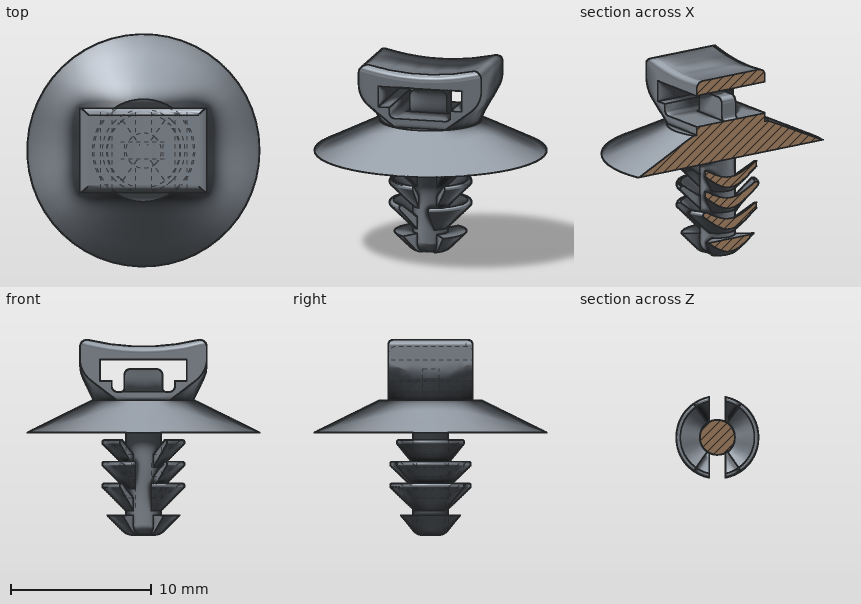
import cadquery as cq
import math


skirt_radius = 16.5 / 2
skirt_top_radius = 7.27 / 2
skirt_height = 2.28

head_length = 9.0
head_width = 6.0
flare_root_radius = 3.53
flare_height = 2.0
flare_blend = 2.0
saddle_radius = 16.5
saddle_bottom = 6.11
head_rounding = 0.5
head_blank_height = 5.0
select_margin = 0.1

window_length = 6.12
window_bottom = 3.67
window_top = 5.17
floor_length = 4.48
floor_z = 2.89
floor_rounding = 0.4

pillar_length = 2.72
pillar_width = 1.2
pillar_top = 4.52
pillar_rounding = 0.45
pillar_foot = 0.25

stem_radius = 2.5 / 2
stem_bottom = -7.27
stem_rounding = 0.75

barb_first_top = -0.52
barb_pitch = 1.54
barb_apex_radius = 3.18
barb_rounding = 0.18
barb_flat_radius = 2.63
barb_dish_depth = 1.03

tip_top = -5.87
tip_radius = 2.57
tip_rounding = 1.0

gap_half_angle = math.radians(35)
narrow_gap = 0.56
gap_reach = 4.0
FRONT_LEFT, FRONT_RIGHT, BACK_LEFT, BACK_RIGHT = (-1, -1), (1, -1), (-1, 1), (1, 1)
QUADRANTS = (FRONT_LEFT, FRONT_RIGHT, BACK_LEFT, BACK_RIGHT)


def revolve(profile):
    """Turn a closed (radius, z) profile around the Z axis."""
    return profile.close().revolve(360, (0, 0, 0), (0, 1, 0))


def make_skirt():
    profile = (
        cq.Workplane("XZ")
        .lineTo(skirt_radius, 0)
        .lineTo(skirt_top_radius, skirt_height)
        .lineTo(0, skirt_height)
    )
    return revolve(profile)


def make_flare():
    """Ruled neck from a circle trimmed to the head width up to the head rectangle."""
    half_width = head_width / 2
    half_chord = math.sqrt(flare_root_radius**2 - half_width**2)
    return (
        cq.Workplane("XY", origin=(0, 0, skirt_height))
        .moveTo(-half_chord, -half_width)
        .lineTo(half_chord, -half_width)
        .threePointArc((flare_root_radius, 0), (half_chord, half_width))
        .lineTo(-half_chord, half_width)
        .threePointArc((-flare_root_radius, 0), (-half_chord, -half_width))
        .close()
        .workplane(offset=flare_height)
        .rect(head_length, head_width)
        .loft(ruled=True)
    )


def make_head():
    flare_top = skirt_height + flare_height
    block = cq.Workplane("XY", origin=(0, 0, flare_top)).box(
        head_length, head_width, head_blank_height, centered=(True, True, False)
    )
    head = make_flare().union(block)
    seam = cq.selectors.BoxSelector(
        (-head_length, -select_margin, flare_top - select_margin),
        (head_length, select_margin, flare_top + select_margin),
    )
    head = head.edges(seam).fillet(flare_blend)

    saddle = (
        cq.Workplane("XZ", origin=(0, 0, saddle_bottom + saddle_radius))
        .circle(saddle_radius)
        .extrude(head_width, both=True)
    )
    head = head.cut(saddle)
    rim = cq.selectors.BoxSelector(
        (-head_length, -head_width, saddle_bottom - select_margin),
        (head_length, head_width, saddle_bottom + head_blank_height),
    )
    head = head.edges(rim).fillet(head_rounding)
    return head.cut(make_window()).union(make_pillar())


def make_window():
    opening = cq.Workplane("XY", origin=(0, 0, window_bottom)).box(
        window_length, 2 * head_width, window_top - window_bottom, centered=(True, True, False)
    )
    trough = (
        cq.Workplane("XY", origin=(0, 0, floor_z))
        .box(floor_length, 2 * head_width, window_top - floor_z, centered=(True, True, False))
        .edges("|Y and <Z")
        .fillet(floor_rounding)
    )
    return opening.union(trough)


def make_pillar():
    half_length = pillar_length / 2
    foot_length = half_length + pillar_foot
    bend = pillar_foot * (1 - math.sqrt(0.5))
    foot_top = floor_z + pillar_foot
    return (
        cq.Workplane("XZ")
        .moveTo(-foot_length, floor_z)
        .lineTo(foot_length, floor_z)
        .threePointArc((half_length + bend, floor_z + bend), (half_length, foot_top))
        .lineTo(half_length, pillar_top)
        .lineTo(-half_length, pillar_top)
        .lineTo(-half_length, foot_top)
        .threePointArc((-half_length - bend, floor_z + bend), (-foot_length, floor_z))
        .close()
        .extrude(pillar_width / 2, both=True)
        .edges("|Y and >Z")
        .fillet(pillar_rounding)
    )


def make_stem():
    return (
        cq.Workplane("XY", origin=(0, 0, stem_bottom))
        .circle(stem_radius)
        .extrude(-stem_bottom)
        .faces("<Z")
        .edges()
        .fillet(stem_rounding)
    )


def make_gap(quadrant, is_narrow):
    """Cutter for the part of a gap that lies in one quadrant."""
    side_x, side_y = quadrant
    far_width = narrow_gap if is_narrow else gap_reach * math.tan(gap_half_angle)
    far_x = side_x * far_width
    far_y = side_y * gap_reach
    profile = cq.Workplane("XY", origin=(0, 0, stem_bottom)).lineTo(0, far_y).lineTo(far_x, far_y)
    if is_narrow:
        profile = profile.lineTo(far_x, 0)
    return profile.close().extrude(-stem_bottom)


def split_into_wings(ring, narrow_quadrants=()):
    for quadrant in QUADRANTS:
        ring = ring.cut(make_gap(quadrant, quadrant in narrow_quadrants))
    return ring


def make_barb(top):
    """Dished cone with a 45 degree underside and a rounded rim."""
    rim_center_radius = barb_apex_radius - barb_rounding * (1 + math.sqrt(2))
    rim_center_z = top - barb_rounding
    rim_step = barb_rounding * math.sqrt(0.5)
    profile = (
        cq.Workplane("XZ")
        .moveTo(0, top - barb_dish_depth)
        .lineTo(stem_radius, top - barb_dish_depth)
        .lineTo(barb_flat_radius, top)
        .lineTo(rim_center_radius, top)
        .threePointArc(
            (rim_center_radius + barb_rounding, rim_center_z),
            (rim_center_radius + rim_step, rim_center_z - rim_step),
        )
        .lineTo(stem_radius, top - (barb_apex_radius - stem_radius))
        .lineTo(0, top - (barb_apex_radius - stem_radius))
    )
    return revolve(profile)


def make_tip():
    """45 degree cone with a flat top and a rounded lower end."""
    end_radius = tip_radius - (tip_top - stem_bottom)
    profile = (
        cq.Workplane("XZ")
        .moveTo(0, tip_top)
        .lineTo(tip_radius, tip_top)
        .lineTo(end_radius, stem_bottom)
        .lineTo(0, stem_bottom)
    )
    return revolve(profile).faces("<Z").edges().fillet(tip_rounding)


narrow_gaps_by_barb = ((), (FRONT_LEFT, BACK_RIGHT), (FRONT_RIGHT, BACK_LEFT))

result = make_skirt().union(make_head()).union(make_stem())
for index, narrow_quadrants in enumerate(narrow_gaps_by_barb):
    barb = make_barb(barb_first_top - index * barb_pitch)
    result = result.union(split_into_wings(barb, narrow_quadrants))
result = result.union(split_into_wings(make_tip()))